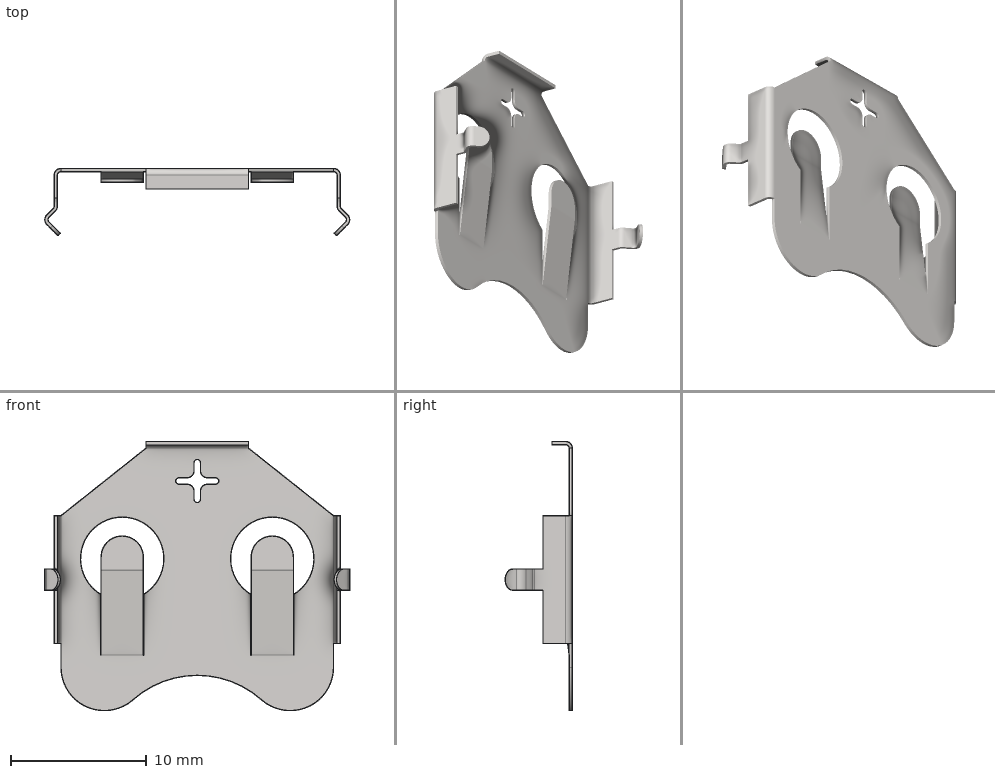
import cadquery as cq
import math


SHEET = 0.25
INNER_BEND = 0.25
OUTER_BEND = INNER_BEND + SHEET
DIAGONAL = math.sqrt(0.5)

OVERALL_WIDTH = 22.48
OVERALL_DEPTH = 4.96
OVERALL_HEIGHT = 19.85

WALL_FACE_X = 10.55
PLATE_HALF_WIDTH = WALL_FACE_X - OUTER_BEND
PLATE_TOP = OVERALL_HEIGHT - OUTER_BEND
LOBE_RADIUS = 3.2
LOBE_X = PLATE_HALF_WIDTH - LOBE_RADIUS
RECESS_TOP = 2.6

LIP_HALF_WIDTH = 3.78
LIP_DEPTH = 1.52

WALL_BOTTOM = 4.95
WALL_TOP = 14.37
WALL_DEPTH = 2.18
HOOK_WIDTH = 1.57
HOOK_Z = (WALL_BOTTOM + WALL_TOP) / 2
HOOK_BEND_DEPTH = 2.78

TONGUE_X = 5.53
TONGUE_WIDTH = 3.13
TONGUE_FOOT = 4.09
TONGUE_CREASE = 10.35
TONGUE_TOP = 12.88
TONGUE_DEPTH = 1.03
TONGUE_CLEARANCE = 0.03
HOLE_RADIUS = 3.06
HOLE_Z = 11.2

CROSS_Z = 16.93
CROSS_SPAN = 3.16
CROSS_ARM_WIDTH = 0.45
CROSS_FILLET = 0.55


def mirrored_pair(solid):
    """Join a solid to its mirror image across X = 0."""
    return solid.union(solid.mirror("YZ"))


def make_plate():
    """Flat plate with two round lobes joined by a tangent concave arc."""
    rise = LOBE_RADIUS - RECESS_TOP
    recess_radius = (LOBE_X**2 + rise**2 - LOBE_RADIUS**2) / (2 * (LOBE_RADIUS - rise))
    recess_z = RECESS_TOP - recess_radius
    share = recess_radius / (recess_radius + LOBE_RADIUS)
    tangent_x = share * LOBE_X
    tangent_z = recess_z + share * (LOBE_RADIUS - recess_z)
    return (
        cq.Workplane("XZ")
        .moveTo(-LIP_HALF_WIDTH, PLATE_TOP)
        .lineTo(LIP_HALF_WIDTH, PLATE_TOP)
        .lineTo(PLATE_HALF_WIDTH, WALL_TOP)
        .lineTo(PLATE_HALF_WIDTH, LOBE_RADIUS)
        .threePointArc((LOBE_X, 0), (tangent_x, tangent_z))
        .threePointArc((0, RECESS_TOP), (-tangent_x, tangent_z))
        .threePointArc((-LOBE_X, 0), (-PLATE_HALF_WIDTH, LOBE_RADIUS))
        .lineTo(-PLATE_HALF_WIDTH, WALL_TOP)
        .close()
        .extrude(SHEET)
    )


def bent_strip(plane, bend_start, depth, length):
    """Quarter bend from the plate edge, then a straight leg down to the given depth.

    The profile is drawn with the plate direction along local x and Y along local y.
    """
    face = bend_start + OUTER_BEND
    return (
        cq.Workplane(plane)
        .moveTo(bend_start, 0)
        .radiusArc((face, -OUTER_BEND), OUTER_BEND)
        .lineTo(face, -depth)
        .lineTo(face - SHEET, -depth)
        .lineTo(face - SHEET, -OUTER_BEND)
        .radiusArc((bend_start, -SHEET), -INNER_BEND)
        .close()
        .extrude(length)
    )


def make_top_lip():
    """Lip folded forward along the top edge of the plate."""
    plane = cq.Plane(origin=(LIP_HALF_WIDTH, 0, 0), xDir=(0, 0, 1), normal=(-1, 0, 0))
    return bent_strip(plane, PLATE_TOP, LIP_DEPTH, 2 * LIP_HALF_WIDTH)


def make_side_wall():
    """Wall folded forward along the +X edge of the plate."""
    plane = cq.Plane(origin=(0, 0, WALL_BOTTOM))
    return bent_strip(plane, PLATE_HALF_WIDTH, WALL_DEPTH, WALL_TOP - WALL_BOTTOM)


def make_hook():
    """Hook on the +X wall: bends out 45 degrees, then back in 45 degrees to a round tip."""
    first_x = WALL_FACE_X + INNER_BEND
    first_y = -HOOK_BEND_DEPTH
    second_x = OVERALL_WIDTH / 2 - OUTER_BEND
    second_y = first_y + (first_x - second_x) - (OUTER_BEND + INNER_BEND) / DIAGONAL

    def around(x, y, radius, angle):
        turn = math.radians(angle)
        return (x + radius * math.cos(turn), y + radius * math.sin(turn))

    def first(radius, angle):
        return around(first_x, first_y, radius, angle)

    def second(radius, angle):
        return around(second_x, second_y, radius, angle)

    mid_turn = (180 + 225) / 2
    bends = (
        cq.Workplane("XY", origin=(0, 0, HOOK_Z - HOOK_WIDTH / 2))
        .moveTo(WALL_FACE_X, -WALL_DEPTH)
        .lineTo(*first(INNER_BEND, 180))
        .threePointArc(first(INNER_BEND, mid_turn), first(INNER_BEND, 225))
        .lineTo(*second(OUTER_BEND, 45))
        .threePointArc(second(OUTER_BEND, 0), second(OUTER_BEND, -45))
        .lineTo(*second(INNER_BEND, -45))
        .threePointArc(second(INNER_BEND, 0), second(INNER_BEND, 45))
        .lineTo(*first(OUTER_BEND, 225))
        .threePointArc(first(OUTER_BEND, mid_turn), first(OUTER_BEND, 180))
        .lineTo(WALL_FACE_X - SHEET, -WALL_DEPTH)
        .close()
        .extrude(HOOK_WIDTH)
    )

    leg_x, leg_y = second(INNER_BEND, -45)
    outer_y = second(OUTER_BEND, -45)[1]
    leg_length = (OVERALL_DEPTH + outer_y) / DIAGONAL
    tip_radius = HOOK_WIDTH / 2
    straight = leg_length - tip_radius
    leg_plane = cq.Plane(origin=(leg_x, leg_y, HOOK_Z), xDir=(-1, -1, 0), normal=(1, -1, 0))
    leg = (
        cq.Workplane(leg_plane)
        .moveTo(0, -tip_radius)
        .lineTo(straight, -tip_radius)
        .threePointArc((leg_length, 0), (straight, tip_radius))
        .lineTo(0, tip_radius)
        .close()
        .extrude(SHEET)
    )
    return bends.union(leg)


def round_topped_blank(width, bottom, top, depth):
    """Block centred on the +X tongue, with straight sides and a full-round top."""
    half = width / 2
    shoulder = top - half
    return (
        cq.Workplane("XZ")
        .moveTo(TONGUE_X - half, bottom)
        .lineTo(TONGUE_X + half, bottom)
        .lineTo(TONGUE_X + half, shoulder)
        .threePointArc((TONGUE_X, top), (TONGUE_X - half, shoulder))
        .close()
        .extrude(depth)
    )


def make_tongue():
    """Tongue that leans forward from its foot and stands upright above the crease."""
    back_depth = TONGUE_DEPTH - SHEET
    root = TONGUE_FOOT - SHEET
    lean = math.atan2(back_depth, TONGUE_CREASE - TONGUE_FOOT)
    half_lean = math.tan(lean / 2)

    back_foot = (0, TONGUE_FOOT + OUTER_BEND * half_lean)
    front_foot = (-SHEET, TONGUE_FOOT + INNER_BEND * half_lean)
    back_crease = (-back_depth, TONGUE_CREASE - SHEET * half_lean)
    front_crease = (-TONGUE_DEPTH, TONGUE_CREASE)
    strip = (
        cq.Workplane("YZ", origin=(TONGUE_X - TONGUE_WIDTH / 2, 0, 0))
        .polyline(
            [
                (0, root),
                back_foot,
                back_crease,
                (-back_depth, TONGUE_TOP),
                (-TONGUE_DEPTH, TONGUE_TOP),
                front_crease,
                front_foot,
                (-SHEET, root),
            ]
        )
        .close()
        .extrude(TONGUE_WIDTH)
    )
    bends = (
        (back_foot, OUTER_BEND),
        (front_foot, INNER_BEND),
        (back_crease, INNER_BEND),
        (front_crease, OUTER_BEND),
    )
    for (y, z), radius in bends:
        corner = cq.NearestToPointSelector((TONGUE_X, y, z))
        strip = strip.edges("|X").edges(corner).fillet(radius)
    return strip.intersect(round_topped_blank(TONGUE_WIDTH, root, TONGUE_TOP, TONGUE_DEPTH))


def make_tongue_opening():
    """Round hole with the slot below it where the tongue is cut free on both sides."""
    hole = cq.Workplane("XZ").center(TONGUE_X, HOLE_Z).circle(HOLE_RADIUS).extrude(SHEET)
    slot_width = TONGUE_WIDTH + 2 * TONGUE_CLEARANCE
    return hole.union(round_topped_blank(slot_width, TONGUE_FOOT, TONGUE_TOP, SHEET))


def make_cross():
    """Cross cutout with round arm ends and filleted inner corners."""
    base = cq.Workplane("XZ").center(0, CROSS_Z)
    across = base.slot2D(CROSS_SPAN, CROSS_ARM_WIDTH).extrude(SHEET)
    upright = base.slot2D(CROSS_SPAN, CROSS_ARM_WIDTH, 90).extrude(SHEET)
    inner_corners = cq.selectors.BoxSelector(
        (-CROSS_ARM_WIDTH, -SHEET, CROSS_Z - CROSS_ARM_WIDTH),
        (CROSS_ARM_WIDTH, 0, CROSS_Z + CROSS_ARM_WIDTH),
    )
    return across.union(upright).edges("|Y").edges(inner_corners).fillet(CROSS_FILLET)


result = make_plate().cut(mirrored_pair(make_tongue_opening())).cut(make_cross())
result = result.union(make_top_lip())
for feature in (make_side_wall(), make_hook(), make_tongue()):
    result = result.union(mirrored_pair(feature))